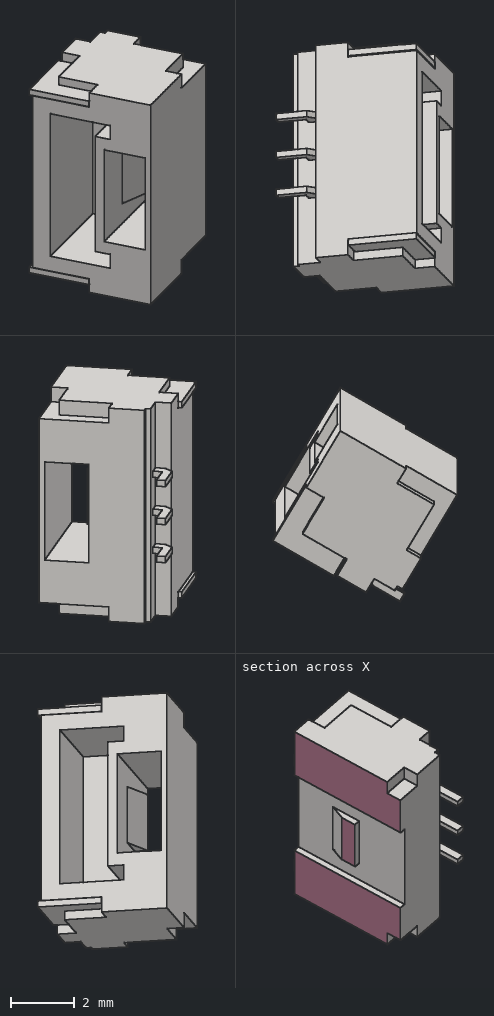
import cadquery as cq

width = 4.16
height = 7.0
overall_depth = 4.61
body_left = 0.105
body_front = 0.02
body_back = 4.27
mid_height = height / 2

shoulder_y = 3.33
step_x, step_y = 0.615, 4.075
back_left = 0.78

front_recess_x, front_recess_y = 2.05, 2.275
front_inner_x, front_inner_y = 0.715, 0.665
recess_depth = 0.48
tab_thickness = 0.2
tab_end_y = 2.225
rear_recess_x, rear_recess_y = 1.92, 2.41
rear_inner_x, rear_inner_y = 3.61, 3.745

pocket_left, pocket_right = 0.715, 2.765
pocket_margin = 1.0
pocket_end_y = 3.29
tongue_left, tongue_right = 2.255, 2.56
tongue_margin = 1.485
window_right = 3.97
window_margin = 1.89
ramp_margin = 2.59
ramp_rise = 0.41
ramp_start_y = 1.4
ramp_length = 1.05

pin_count = 3
pin_pitch = 1.245
pin_height = 0.2
pin_left = 0.03
pin_thickness = 0.29
pin_foot_y = 3.71
pin_bevel = 0.27


def centered_box(x_start, x_end, y_start, y_end, margin):
    """Box centred in height, with equal margins to the top and bottom."""
    return (
        cq.Workplane("XY")
        .box(x_end - x_start, y_end - y_start, height - 2 * margin, centered=False)
        .translate((x_start, y_start, margin))
    )


def prism(points, z_bottom, thickness):
    """Extrude a closed XY outline upward."""
    return cq.Workplane("XY", origin=(0, 0, z_bottom)).polyline(points).close().extrude(thickness)


def corner_outline(corner, inner, far):
    """L-shaped outline around one corner of the body."""
    return [
        corner,
        (far[0], corner[1]),
        (far[0], inner[1]),
        inner,
        (inner[0], far[1]),
        (corner[0], far[1]),
    ]


def cut_both_ends(part, outline, depth):
    """Remove the outline from the top and bottom faces."""
    for z_bottom in (0, height - depth):
        part = part.cut(prism(outline, z_bottom, depth))
    return part


body_outline = [
    (body_left, body_front),
    (width, body_front),
    (width, body_back),
    (back_left, body_back),
    (back_left, step_y),
    (step_x, step_y),
    (step_x, shoulder_y),
    (body_left, shoulder_y),
]
result = prism(body_outline, 0, height)

front_recess = corner_outline(
    (body_left, body_front), (front_inner_x, front_inner_y), (front_recess_x, front_recess_y)
)
rear_recess = corner_outline(
    (width, body_back), (rear_inner_x, rear_inner_y), (rear_recess_x, rear_recess_y)
)
result = cut_both_ends(result, front_recess, recess_depth)
result = cut_both_ends(result, rear_recess, recess_depth)

tab_outline = corner_outline((0, 0), (front_inner_x, front_inner_y), (front_recess_x, tab_end_y))
for tab_bottom in (recess_depth - tab_thickness, height - recess_depth):
    result = result.union(prism(tab_outline, tab_bottom, tab_thickness))

pocket = centered_box(pocket_left, pocket_right, body_front, pocket_end_y, pocket_margin)
tongue = centered_box(tongue_left, pocket_right, body_front, pocket_end_y, tongue_margin)
window = centered_box(tongue_right, window_right, body_front, body_back, window_margin)
result = result.cut(pocket.cut(tongue)).cut(window)

ramp_outline = [
    (tongue_right, ramp_start_y),
    (tongue_right + ramp_rise, ramp_start_y + ramp_length),
    (tongue_right, ramp_start_y + ramp_length),
]
result = result.union(prism(ramp_outline, ramp_margin, height - 2 * ramp_margin))

pin_outline = [
    (step_x, shoulder_y),
    (pin_left + pin_bevel, shoulder_y),
    (pin_left, shoulder_y + pin_bevel),
    (pin_left, overall_depth),
    (pin_left + pin_thickness, overall_depth),
    (pin_left + pin_thickness, pin_foot_y),
    (step_x, pin_foot_y),
]
for index in range(pin_count):
    pin_center = mid_height + (index - (pin_count - 1) / 2) * pin_pitch
    result = result.union(prism(pin_outline, pin_center - pin_height / 2, pin_height))